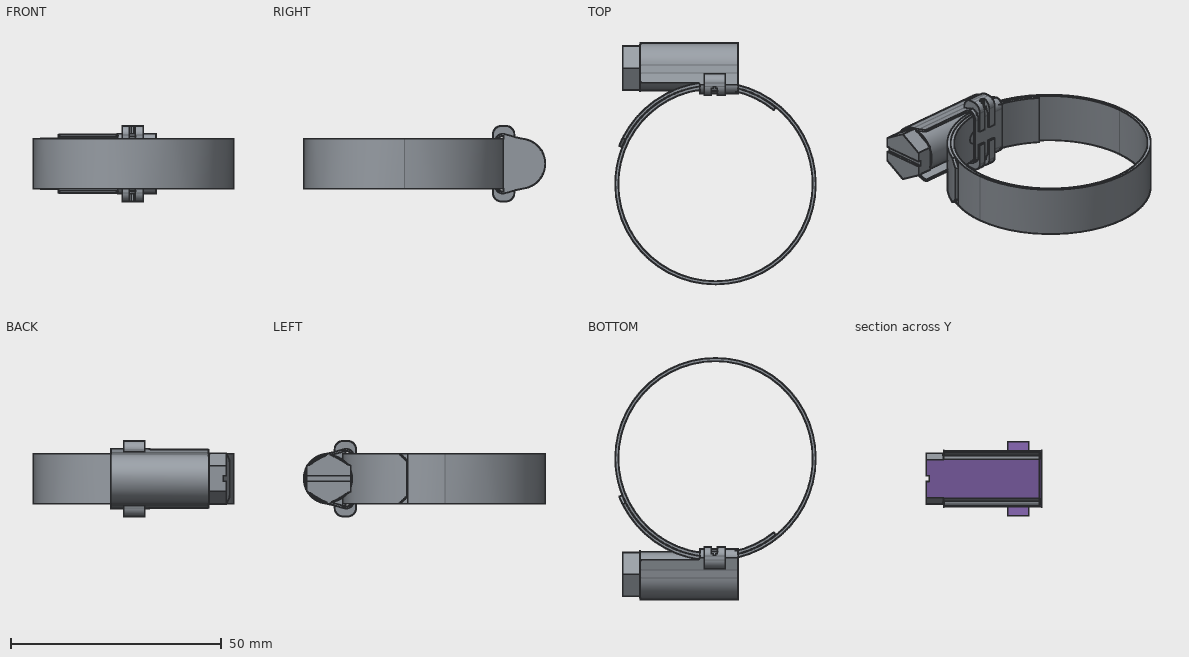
import cadquery as cq
import math

band_width = 11.9
band_thickness = 0.8
layer_gap = 0.03
layer_pitch = band_thickness + layer_gap
loop_radius = 23.805
outer_radius = loop_radius + layer_pitch / 2
seam_radius = outer_radius - band_thickness
inner_outside = outer_radius - layer_pitch
inner_radius = inner_outside - band_thickness
overlap_x = -layer_pitch / 2
outer_end_angle = 158
inner_end_angle = 51
end_chamfer_length = 2.0
end_chamfer_width = 1.8

total_length = 57.3
housing_radius = 5.95
sheet = 0.5
housing_top = total_length - loop_radius
screw_y = housing_top - housing_radius
housing_start = -17.8
housing_end = 5.4
crown_end_y = 28.3
bend_y = 26.4
bend_half_width = 6.3
saddle_half_width = 7.1
saddle_bottom = 21.5
saddle_corner = 2.05
saddle_start = -3.7
flap_edge_y = 24.0
flap_chamfer = 0.35
end_wall = 0.6

screw_radius = 5.4
collar_radius = 5.55
head_flats = 10.5
head_start = -22.0
head_end = -18.0
drive_slot_width = 1.3
drive_slot_depth = 0.7

lug_start = -2.7
lug_end = 2.35
lug_top = 26.2
lug_bottom = 21.0
lug_half_width = 9.0
lug_corner = 2.1
finger_tip_z = 1.85
finger_gap_start = -1.0
finger_gap_end = 0.45
finger_gap_top = 22.7
relief_width = 0.65
relief_depth = 0.35
strap_thickness = screw_y - screw_radius - saddle_bottom - sheet


def box_between(x_range, y_range, z_range):
    """Box filling the given ranges along the axes."""
    size = [high - low for low, high in (x_range, y_range, z_range)]
    corner = (x_range[0], y_range[0], z_range[0])
    return cq.Workplane("XY").box(*size, centered=False).translate(corner)


def overlap_point(radius, angle):
    """Point at an angle on the overlapping half of the band."""
    turn = math.radians(angle)
    return (overlap_x + radius * math.cos(turn), radius * math.sin(turn))


def make_band():
    inside = loop_radius - band_thickness
    inner_middle = (inner_end_angle + 180) / 2
    outer_middle = outer_end_angle / 2
    band = (
        cq.Workplane("XY")
        .workplane(offset=-band_width / 2)
        .moveTo(*overlap_point(outer_radius, outer_end_angle))
        .threePointArc(overlap_point(outer_radius, outer_middle), (loop_radius, 0))
        .threePointArc((0, -loop_radius), (-loop_radius, 0))
        .threePointArc(
            overlap_point(inner_outside, inner_middle),
            overlap_point(inner_outside, inner_end_angle),
        )
        .lineTo(*overlap_point(inner_radius, inner_end_angle))
        .threePointArc(overlap_point(inner_radius, inner_middle), (-inside, 0))
        .threePointArc((0, -inside), (inside, 0))
        .threePointArc(
            overlap_point(seam_radius, outer_middle), overlap_point(seam_radius, outer_end_angle)
        )
        .close()
        .extrude(band_width)
    )
    turn = math.radians(outer_end_angle)
    outward = cq.Vector(math.cos(turn), math.sin(turn), 0)
    end_plane = cq.Plane(
        origin=(*overlap_point(seam_radius, outer_end_angle), 0),
        xDir=(math.sin(turn), -math.cos(turn), 0),
        normal=outward.toTuple(),
    )
    edge = band_width / 2
    for side in (-1, 1):
        corner = (
            cq.Workplane(end_plane)
            .polyline([
                (0, side * (edge - end_chamfer_width)),
                (0, side * edge),
                (end_chamfer_length, side * edge),
            ])
            .close()
            .extrude(band_thickness)
        )
        band = band.cut(corner)
    return band


def make_screw():
    shank = (
        cq.Workplane("YZ", origin=(head_end, screw_y, 0))
        .circle(screw_radius)
        .extrude(housing_end - end_wall - head_end)
    )
    head = (
        cq.Workplane("YZ", origin=(head_start, screw_y, 0))
        .transformed(rotate=(0, 0, 30))
        .polygon(6, head_flats / math.cos(math.pi / 6))
        .extrude(head_end - head_start)
    )
    collar = (
        cq.Workplane("YZ", origin=(head_end, screw_y, 0))
        .circle(collar_radius)
        .extrude(housing_start - head_end)
    )
    slot = box_between(
        (head_start, head_start + drive_slot_depth),
        (screw_y - head_flats, screw_y + head_flats),
        (-drive_slot_width / 2, drive_slot_width / 2),
    )
    return shank.union(collar).union(head).cut(slot)


def housing_section():
    """Outer outline of the housing, at its -X end."""
    crown_z = math.sqrt(housing_radius**2 - (crown_end_y - screw_y) ** 2)
    corner_y = saddle_bottom + saddle_corner
    corner_z = saddle_half_width - saddle_corner
    diagonal = saddle_corner * math.sqrt(0.5)
    return (
        cq.Workplane("YZ", origin=(housing_start, 0, 0))
        .moveTo(crown_end_y, -crown_z)
        .threePointArc((housing_top, 0), (crown_end_y, crown_z))
        .lineTo(bend_y, bend_half_width)
        .lineTo(corner_y, saddle_half_width)
        .threePointArc((corner_y - diagonal, corner_z + diagonal), (saddle_bottom, corner_z))
        .lineTo(saddle_bottom, -corner_z)
        .threePointArc((corner_y - diagonal, -corner_z - diagonal), (corner_y, -saddle_half_width))
        .lineTo(bend_y, -bend_half_width)
        .close()
    )


def make_housing_block():
    """The housing before it is hollowed."""
    return housing_section().extrude(housing_end - housing_start)


def make_housing():
    cavity = housing_section().offset2D(-sheet).extrude(housing_end - housing_start)
    cavity = cavity.cut(
        box_between(
            (housing_end - end_wall, housing_end),
            (saddle_bottom + saddle_corner, housing_top),
            (-saddle_half_width, saddle_half_width),
        )
    )
    below_flaps = (
        cq.Workplane("XY")
        .workplane(offset=-lug_half_width)
        .polyline([
            (housing_start, flap_edge_y + flap_chamfer),
            (housing_start + flap_chamfer, flap_edge_y),
            (saddle_start - flap_chamfer, flap_edge_y),
            (saddle_start, flap_edge_y - flap_chamfer),
            (saddle_start, saddle_bottom),
            (housing_start, saddle_bottom),
        ])
        .close()
        .extrude(2 * lug_half_width)
    )
    return make_housing_block().cut(cavity).cut(below_flaps)


def make_strap():
    """Strap between the saddle and the band that joins the two lugs."""
    strap_y = saddle_bottom + sheet
    return box_between(
        (lug_start, lug_end),
        (strap_y, strap_y + strap_thickness),
        (-saddle_half_width, saddle_half_width),
    )


def make_clip():
    clip = (
        box_between((lug_start, lug_end), (lug_bottom, lug_top), (-lug_half_width, lug_half_width))
        .edges("|X")
        .fillet(lug_corner)
    )
    between_tips = box_between(
        (lug_start, lug_end), (lug_bottom, saddle_bottom), (-finger_tip_z, finger_tip_z)
    )
    finger_gap = box_between(
        (finger_gap_start, finger_gap_end),
        (lug_bottom, finger_gap_top),
        (-lug_half_width, lug_half_width),
    )
    gap_middle = (finger_gap_start + finger_gap_end) / 2
    relief = box_between(
        (gap_middle - relief_width / 2, gap_middle + relief_width / 2),
        (finger_gap_top, finger_gap_top + relief_depth),
        (-lug_half_width, lug_half_width),
    )
    clip = clip.cut(make_housing_block()).cut(between_tips).cut(finger_gap).cut(relief)
    return clip.union(make_strap())


screw = make_screw()
band = make_band().cut(screw)
housing = make_housing().cut(make_strap()).cut(make_band())
clip = make_clip()

result = cq.Compound.makeCompound([body.solids().val() for body in (band, screw, housing, clip)])